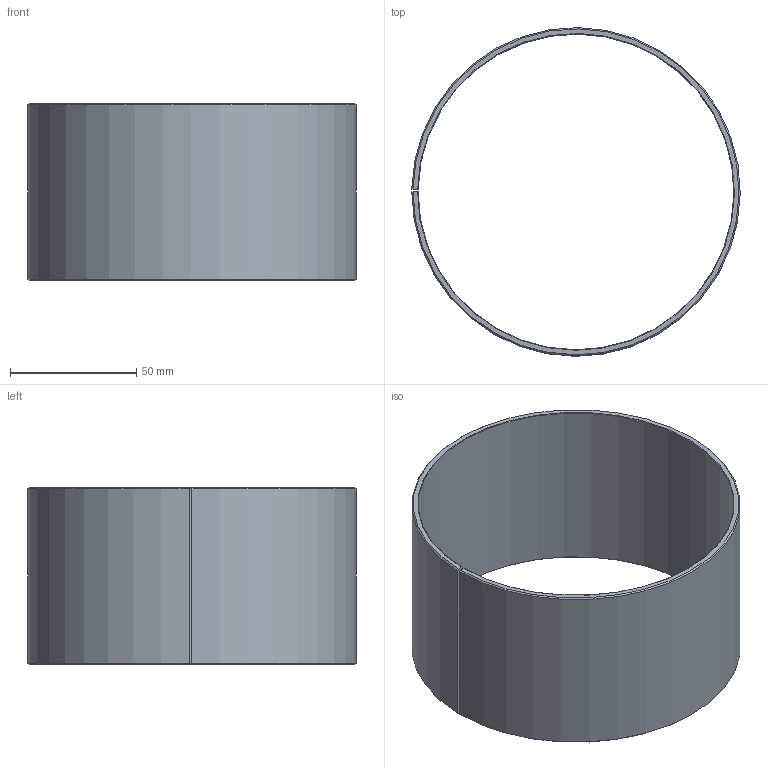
import cadquery as cq

outer_diameter = 130.0
wall_thickness = 2.5
height = 70.0
outer_chamfer = 0.5
inner_chamfer = 0.2
split_angle = 1.0

outer_radius = outer_diameter / 2
inner_radius = outer_radius - wall_thickness


def wall_section():
    """Wall cross-section on the -X side, with all four rim corners chamfered."""
    return (
        cq.Workplane("XZ")
        .moveTo(-outer_radius, outer_chamfer)
        .lineTo(-outer_radius, height - outer_chamfer)
        .lineTo(-outer_radius + outer_chamfer, height)
        .lineTo(-inner_radius - inner_chamfer, height)
        .lineTo(-inner_radius, height - inner_chamfer)
        .lineTo(-inner_radius, inner_chamfer)
        .lineTo(-inner_radius - inner_chamfer, 0)
        .lineTo(-outer_radius + outer_chamfer, 0)
        .close()
    )


def make_sleeve():
    """Sweep the wall counter-clockwise from -X, stopping short to leave the split on its +Y side."""
    sweep_angle = 360.0 - split_angle
    return wall_section().revolve(sweep_angle, (0, 0, 0), (0, 1, 0))


result = make_sleeve()